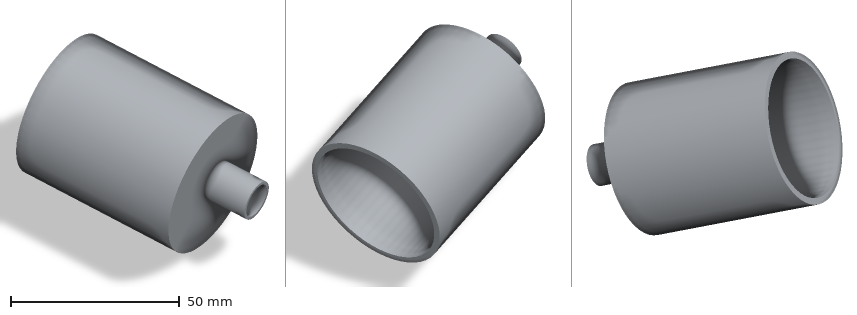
import cadquery as cq

total_length = 69.5
cup_length = 55.0
cup_diameter = 46.0
wall = 2.0
bore_diameter = cup_diameter - 2 * wall
bore_depth = cup_length - wall

spigot_diameter = 12.6
spigot_bore_diameter = 10.55
spigot_offset = 1.8


def cylinder_along_x(diameter, x_start, x_end, y_center=0.0):
    """Solid cylinder with its axis parallel to X."""
    return (
        cq.Workplane("YZ", origin=(x_start, y_center, 0))
        .circle(diameter / 2)
        .extrude(x_end - x_start)
    )


cup = cylinder_along_x(cup_diameter, 0, cup_length)
cup_bore = cylinder_along_x(bore_diameter, 0, bore_depth)

spigot = cylinder_along_x(spigot_diameter, bore_depth, total_length, spigot_offset)
spigot_bore = cylinder_along_x(spigot_bore_diameter, 0, total_length, spigot_offset)

result = cup.cut(cup_bore).union(spigot).cut(spigot_bore)